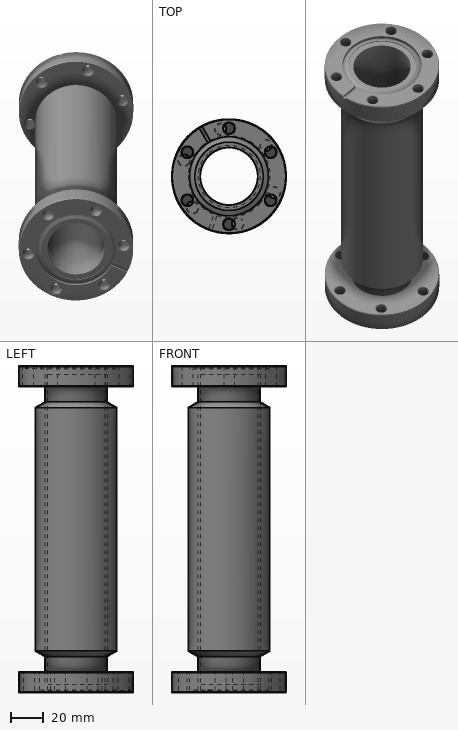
import cadquery as cq
import math

total_length = 200.0
bore_diameter = 35.0

flange_diameter = 70.0
flange_thickness = 13.0
rim_chamfer_width = 0.35
rim_chamfer_height = 0.6
bottom_flange_turn = 10.3

bolt_hole_count = 6
bolt_hole_diameter = 6.7
bolt_hole_chamfer = 0.35
bolt_circle_diameter = 58.7
first_bolt_angle = 90.0

recess_diameter = 48.3
recess_depth = 1.9
knife_edge_diameter = 41.8
knife_edge_depth = 0.7
inner_face_depth = 1.3

groove_width = 2.0
groove_depth = 1.5
groove_angle = first_bolt_angle + 180.0 / bolt_hole_count

tube_diameter = 38.0
tube_end_depth = 5.3

sleeve_diameter = 50.0
sleeve_end_gap = 9.2
taper_length = 3.5


def make_flange():
    """Flange with its sealing face in the plane Z = 0 and its body below."""
    rim_radius = flange_diameter / 2
    face_radius = rim_radius - rim_chamfer_width
    flange = (
        cq.Workplane("XZ")
        .lineTo(face_radius, 0)
        .lineTo(rim_radius, -rim_chamfer_height)
        .lineTo(rim_radius, -flange_thickness + rim_chamfer_height)
        .lineTo(face_radius, -flange_thickness)
        .lineTo(0, -flange_thickness)
        .close()
        .revolve(360, (0, 0, 0), (0, 1, 0))
    )
    bore = cq.Workplane("XY").circle(bore_diameter / 2).extrude(-flange_thickness)
    socket = (
        cq.Workplane("XY", origin=(0, 0, -flange_thickness))
        .circle(tube_diameter / 2)
        .extrude(flange_thickness - tube_end_depth)
    )
    flange = flange.cut(bore).cut(socket).cut(make_seal_recess()).cut(make_groove())
    for index in range(bolt_hole_count):
        angle = first_bolt_angle + index * 360.0 / bolt_hole_count
        flange = flange.cut(make_bolt_hole().rotate((0, 0, 0), (0, 0, 1), angle))
    return flange


def make_bolt_hole():
    """Space of one through hole on the +X axis, widened by a chamfer at both faces."""
    hole_radius = bolt_hole_diameter / 2
    rim_radius = hole_radius + bolt_hole_chamfer
    return (
        cq.Workplane("XZ")
        .lineTo(rim_radius, 0)
        .lineTo(hole_radius, -bolt_hole_chamfer)
        .lineTo(hole_radius, -flange_thickness + bolt_hole_chamfer)
        .lineTo(rim_radius, -flange_thickness)
        .lineTo(0, -flange_thickness)
        .close()
        .revolve(360, (0, 0, 0), (0, 1, 0))
        .translate((bolt_circle_diameter / 2, 0, 0))
    )


def make_seal_recess():
    """Revolved space of the recess; its sloped floor leaves the knife edge standing."""
    return (
        cq.Workplane("XZ")
        .moveTo(0, 0)
        .lineTo(recess_diameter / 2, 0)
        .lineTo(recess_diameter / 2, -recess_depth)
        .lineTo(knife_edge_diameter / 2, -knife_edge_depth)
        .lineTo(knife_edge_diameter / 2, -inner_face_depth)
        .lineTo(0, -inner_face_depth)
        .close()
        .revolve(360, (0, 0, 0), (0, 1, 0))
    )


def make_groove():
    """Straight radial groove in the sealing face."""
    groove_start = math.sqrt((recess_diameter / 2) ** 2 - (groove_width / 2) ** 2)
    return (
        cq.Workplane("XY")
        .box(flange_diameter / 2, groove_width, groove_depth, centered=(False, True, False))
        .translate((groove_start, 0, -groove_depth))
        .rotate((0, 0, 0), (0, 0, 1), groove_angle)
    )


def make_tube():
    """Plain tube between the two flange sockets."""
    return (
        cq.Workplane("XY", origin=(0, 0, tube_end_depth))
        .circle(tube_diameter / 2)
        .circle(bore_diameter / 2)
        .extrude(total_length - 2 * tube_end_depth)
    )


def make_sleeve():
    """Sleeve on the tube; each end tapers down to the tube surface."""
    end_z = flange_thickness + sleeve_end_gap
    tube_radius = tube_diameter / 2
    sleeve_radius = sleeve_diameter / 2
    return (
        cq.Workplane("XZ")
        .moveTo(tube_radius, end_z)
        .lineTo(sleeve_radius, end_z + taper_length)
        .lineTo(sleeve_radius, total_length - end_z - taper_length)
        .lineTo(tube_radius, total_length - end_z)
        .close()
        .revolve(360, (0, 0, 0), (0, 1, 0))
    )


top_flange = make_flange().translate((0, 0, total_length))
bottom_flange = (
    make_flange()
    .rotate((0, 0, 0), (1, 0, 0), 180)
    .rotate((0, 0, 0), (0, 0, 1), bottom_flange_turn)
)
tube = make_tube()
sleeve = make_sleeve()

result = cq.Compound.makeCompound([top_flange.val(), bottom_flange.val(), tube.val(), sleeve.val()])